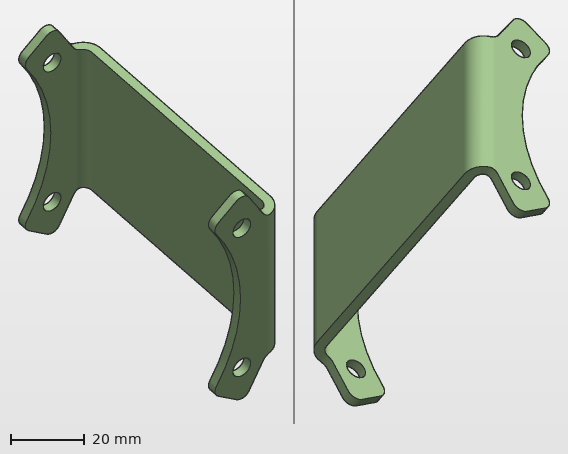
import cadquery as cq
import math

length = 88.0
plate_height = 50.0
thickness = 3.0
bend_radius = 2 * thickness

corner_radius = 3.0
ear_slope = 60.0
ear_end_angle = 36.5
saddle_radius = 50.0
saddle_depth = 14.7

hole_diameter = 6.0
hole_depth = 14.3
hole_spacing = 50.4

half_height = plate_height / 2
saddle_center_y = -(saddle_depth + saddle_radius)
end_angle = math.radians(ear_end_angle)

slope = math.tan(math.radians(ear_slope))
end_slope = math.tan(end_angle)
fold_end_y = -bend_radius
corner_y = (half_height + slope * fold_end_y + end_slope * saddle_center_y) / (slope + end_slope)
corner_z = end_slope * (corner_y - saddle_center_y)
tip_y = saddle_center_y + saddle_radius * math.cos(end_angle)
tip_z = saddle_radius * math.sin(end_angle)
flange_reach = -tip_y


def rounded_block(inset):
    """Block offset inward from the sheet's outer faces, with both fold edges rounded."""
    return (
        cq.Workplane("XY")
        .center(0, -inset - flange_reach / 2)
        .rect(length - 2 * inset, flange_reach)
        .extrude(corner_z, both=True)
        .edges("|Z and >Y")
        .fillet(bend_radius - inset)
    )


def folded_channel():
    """U-shaped sheet, tall enough to contain the whole flange outline."""
    return rounded_block(0).cut(rounded_block(thickness))


def side_outline():
    """Side silhouette of the bracket, extruded across its full length."""
    outline = (
        cq.Workplane("YZ")
        .moveTo(0, -half_height)
        .lineTo(0, half_height)
        .lineTo(fold_end_y, half_height)
        .lineTo(corner_y, corner_z)
        .lineTo(tip_y, tip_z)
        .threePointArc((-saddle_depth, 0), (tip_y, -tip_z))
        .lineTo(corner_y, -corner_z)
        .lineTo(fold_end_y, -half_height)
        .close()
        .extrude(length / 2, both=True)
    )
    return outline.edges("|X and (not >Y)").fillet(corner_radius)


def mounting_holes():
    """Hole cutters running through both flanges."""
    return (
        cq.Workplane("YZ")
        .pushPoints([(-hole_depth, side * hole_spacing / 2) for side in (-1, 1)])
        .circle(hole_diameter / 2)
        .extrude(length / 2, both=True)
    )


result = folded_channel().intersect(side_outline()).cut(mounting_holes())